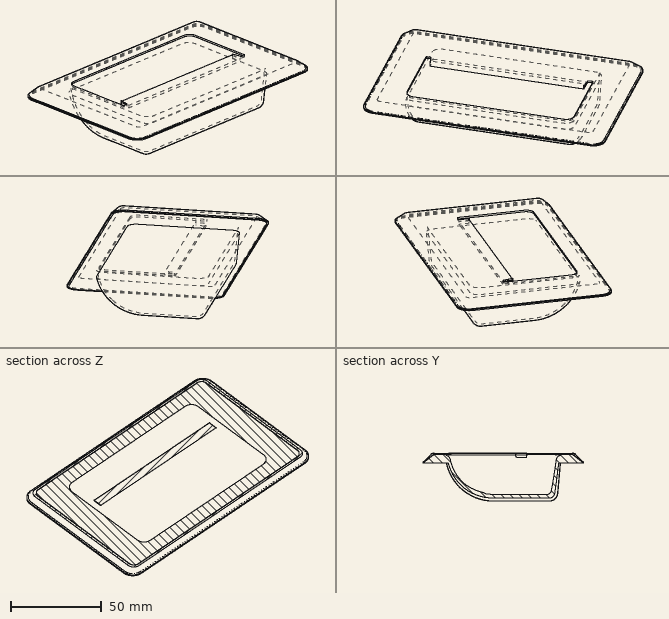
import cadquery as cq
import math

cover_length = 138.0
cover_width = 88.0
cover_height = 5.5
rim_height = 0.7
rim_corner_radius = 6.8
side_bevel_run = 5.0
end_bevel_run = 6.3
top_corner_radius = 2.1
top_edge_radius = 2.8
sheet = 1.0

opening_front_x = -29.8
opening_half_length = 47.7
opening_corner_radius = 4.4
lip_x = 6.8
lip_edge_radius = 1.2
lip_fold_height = 2 * lip_edge_radius
notch_end_x = 12.8
lip_half_length = 43.9
notch_end_y = 44.8
notch_corner_radius = 0.7

overall_height = 26.5
tray_depth = overall_height - cover_height
flange_height = cover_height - sheet
tray_half_length = 48.5
tray_back_x = 31.5
tray_arc_radius = overall_height
tray_arc_x = -5.4
end_draft = math.radians(2.7)
back_draft = math.radians(5)
tray_edge_radius = 4.8
tray_rim_radius = 2.5


def bevelled_plate(inset, height):
    """Plate with an upright rim and sloping sides, its outline moved inward by inset."""
    width = cover_width - 2 * inset
    length = cover_length - 2 * inset
    corner = rim_corner_radius - inset
    rim = cq.Sketch().rect(width, length).vertices().fillet(corner)
    top = (
        cq.Sketch()
        .rect(width - 2 * side_bevel_run, length - 2 * end_bevel_run)
        .vertices()
        .fillet(top_corner_radius)
    )
    band = cq.Workplane("XY").placeSketch(rim).extrude(rim_height)
    slope = (
        cq.Workplane("XY")
        .placeSketch(
            rim.moved(cq.Location((0, 0, rim_height))),
            top.moved(cq.Location((0, 0, height))),
        )
        .loft(ruled=True)
    )
    return band.union(slope)


def opening_cutter():
    """Finger opening, with a narrow notch beside each end of the lip."""
    outline = [
        (opening_front_x, -opening_half_length),
        (notch_end_x, -opening_half_length),
        (notch_end_x, -notch_end_y),
        (lip_x, -lip_half_length),
        (lip_x, lip_half_length),
        (notch_end_x, notch_end_y),
        (notch_end_x, opening_half_length),
        (opening_front_x, opening_half_length),
    ]
    opening = cq.Workplane("XY").polyline(outline).close().extrude(cover_height)
    opening = opening.edges("|Z and <X").fillet(opening_corner_radius)
    return opening.edges("|Z and >X").fillet(notch_corner_radius)


def lip_fold():
    """Bar folded under the lip edge, ending in X where the notches end."""
    return (
        cq.Workplane("XY")
        .box(notch_end_x - lip_x, 2 * lip_half_length, lip_fold_height, centered=(False, True, False))
        .translate((lip_x, 0, cover_height - lip_fold_height))
    )


def lip_nose_cutter():
    """Material outside the half-round nose of the lip."""
    block = cq.Workplane("XY").box(
        lip_edge_radius, 2 * lip_half_length, lip_fold_height, centered=(False, True, True)
    )
    nose = (
        cq.Workplane("XZ")
        .center(lip_edge_radius, 0)
        .circle(lip_edge_radius)
        .extrude(lip_half_length, both=True)
    )
    return block.cut(nose).translate((lip_x, 0, cover_height - lip_edge_radius))


def make_cover():
    """Hollow sheet cover with the finger opening and its half-round lip."""
    cover = bevelled_plate(0, cover_height).faces(">Z").edges().fillet(top_edge_radius)
    flange_space = bevelled_plate(sheet, flange_height)
    cover = cover.cut(flange_space).cut(opening_cutter())
    return cover.union(lip_fold()).cut(lip_nose_cutter())


def tray_form(inset, top_z):
    """Rounded tray shape up to top_z, with its walls and floor moved inward by inset."""
    radius = tray_arc_radius - inset
    floor_z = inset - tray_depth
    back_x = tray_back_x - inset / math.cos(back_draft)
    end_y = tray_half_length - inset / math.cos(end_draft)
    back_top_x = back_x + top_z * math.tan(back_draft)
    back_floor_x = back_x + floor_z * math.tan(back_draft)
    end_top_y = end_y + top_z * math.tan(end_draft)
    end_floor_y = end_y + floor_z * math.tan(end_draft)

    start_angle = math.asin((cover_height - top_z) / radius)
    middle_angle = (start_angle + math.pi / 2) / 2
    arc_start = (tray_arc_x - radius * math.cos(start_angle), top_z)
    arc_middle = (
        tray_arc_x - radius * math.cos(middle_angle),
        cover_height - radius * math.sin(middle_angle),
    )
    side_shape = (
        cq.Workplane("XZ")
        .moveTo(*arc_start)
        .threePointArc(arc_middle, (tray_arc_x, floor_z))
        .lineTo(back_floor_x, floor_z)
        .lineTo(back_top_x, top_z)
        .close()
        .extrude(cover_length / 2, both=True)
    )
    end_shape = (
        cq.Workplane("YZ")
        .polyline([(-end_top_y, top_z), (-end_floor_y, floor_z), (end_floor_y, floor_z), (end_top_y, top_z)])
        .close()
        .extrude(cover_width / 2, both=True)
    )
    form = side_shape.intersect(end_shape)
    end_edges = form.faces("<Y or >Y").edges()
    back_floor_edge = form.faces("<Z").edges(">X")
    return end_edges.add(back_floor_edge).edges("not(>Z)").fillet(tray_edge_radius)


def make_base():
    """Flange and open tray in one piece, with the mouth of the tray rounded."""
    flange = bevelled_plate(sheet, flange_height)
    base = flange.union(tray_form(0, 0)).cut(tray_form(sheet, flange_height))
    tray_mouth = base.faces(">Z").val().innerWires()[0]
    return base.newObject(tray_mouth.Edges()).fillet(tray_rim_radius)


cover = make_cover()
base = make_base()
result = cq.Compound.makeCompound([cover.solids().val(), base.solids().val()])